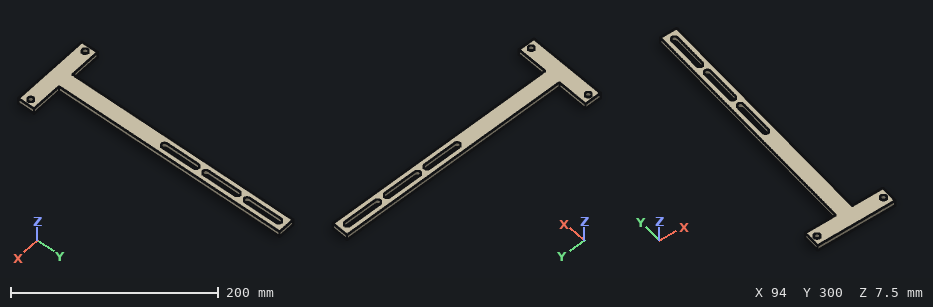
import cadquery as cq

total_length = 300.0
thickness = 7.5
head_length = 94.0
bar_width = 20.0
bolt_clearance = 6.5

hole_spacing = 80.0

slot_count = 3
slot_length = 46.5
slot_width = bolt_clearance
slot_pitch = 52.5
slot_end_margin = 6.5


def make_plate():
    """T-shaped plate with the outer edge of the head on Y = 0."""
    head = cq.Workplane("XY").box(head_length, bar_width, thickness, centered=(True, False, False))
    arm = cq.Workplane("XY").box(bar_width, total_length, thickness, centered=(True, False, False))
    return head.union(arm)


def make_mounting_holes():
    """Cutters for the two through holes on the head's centre line."""
    centres = [(side * hole_spacing / 2, bar_width / 2) for side in (-1, 1)]
    return cq.Workplane("XY").pushPoints(centres).circle(bolt_clearance / 2).extrude(thickness)


def make_slots():
    """Cutters for the round-ended through slots, counted from the arm tip."""
    first_centre = total_length - slot_end_margin - slot_length / 2
    centres = [(0, first_centre - index * slot_pitch) for index in range(slot_count)]
    return cq.Workplane("XY").pushPoints(centres).slot2D(slot_length, slot_width, 90).extrude(thickness)


result = make_plate().cut(make_mounting_holes()).cut(make_slots())